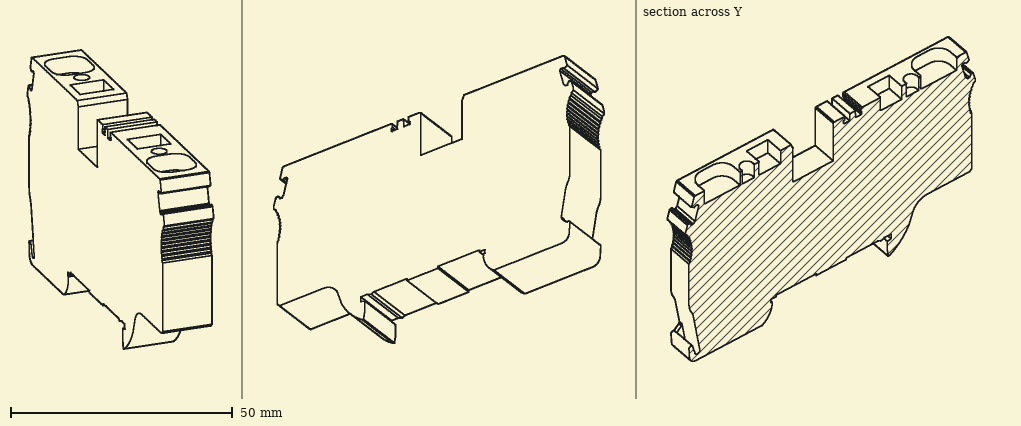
import cadquery as cq
import math

half_length = 41.6
thickness = 12.0
height = 50.5

wall_x = 40.6
wall_top_z = 30.7
tip_low_z = 40.1
tip_high_z = 40.7
ledge_root = (41.0, 39.6)
head_x = 39.1

rim_bevel_x = 0.3
rim_bevel_z = 0.2

ledge_hook = [(41.0, 42.8), (40.7, 43.0), (40.3, 43.0), (39.9, 42.2), (39.4, 42.2), (38.9, 42.8)]
lip_underside = [(37.8, 46.9), (38.0, 47.3), (38.7, 47.3), (39.0, 46.95), (39.9, 47.5)]

grip_radius = 10.8
grip_mid_z = 34.55
grip_waist_x = 39.95
ridge_count = 9
ridge_pitch = 0.9
ridge_depth = 0.25

gap_left_x = -10.65
gap_right_x = 0.75
gap_floor_z = 38.9
gap_chamfer_x = 0.6
gap_chamfer_z = 1.3

marker_mid_x = 6.4
marker_floor_z = 48.45
tongue_half_width = 0.8
tongue_taper = 0.1
marker_floor_corner = 0.2
marker_mouth_half_width = 2.25
marker_undercut_half_width = 2.6
marker_lip_z = 49.45
marker_undercut_z = 49.1
marker_bevel_x = 0.4

rail_seat_z = 7.0
rail_pad_z = 6.5
left_pad_end_x = -15.5
middle_pad_left_x = -4.0
middle_pad_right_x = 4.6
rail_nib = [(13.7, rail_seat_z), (14.5, 6.6), (15.6, rail_seat_z)]

sprung_hook = [
    (17.4, rail_seat_z), (17.4, 5.75), (16.3, 5.5), (16.3, 2.5), (16.65, 0.7), (17.1, 0.75)
]
hook_back_mid = (20.3, 3.5)
hook_back_x = 22.6

foot_corner_radius = 2.1
foot_right_x = -16.65
foot_curve_left_x = -19.6
foot_curve_mid = (-17.65, 1.8)
foot_curve_top_z = 4.5
foot_hook_z = 5.5
foot_notch_x = -17.1
foot_notch_z = 5.7
foot_left_x = -40.45
foot_lip_z = 4.7
foot_lip_crown = (-40.0, 5.3)
foot_lip_inside = (-39.45, 4.9)
slot_wall_top = (-39.45, 14.4)
slot_wall_bottom = (-37.45, 2.6)
slot_floor_mid = (-38.0, 1.9)
slot_floor_end = (-38.7, 2.3)

web_thickness = 1.0
web_outline = [(-38.2, 7.25), (-38.4, 6.6), (-39.8, 5.25), (-38.7, 1.5), (-37.05, 1.5)]

wall_bottom_z = 18.2
wall_bend_mid = (-40.5, 17.3)
wall_bend_end = (-40.3, 16.4)
wall_jog = (-39.7, 15.15)

shelf_z = 13.3
shelf_left_x = 27.6
shelf_corner = 0.7
shelf_curve_start = (23.8, 10.5)
shelf_curve_mid = (25.2, 12.4)

opening_depth = 4.0
wire_pocket_x = 31.05
wire_pocket_size = 10.15
wire_pocket_corner_radius = 3.3
test_hole_x = 23.55
test_hole_diameter = 3.5
tool_pocket_x = 17.4
tool_pocket_length = 6.1
tool_pocket_width = 8.1


def grip_x(z):
    """Distance of the grip arc from the middle plane at height z."""
    rise = z - grip_mid_z
    return grip_waist_x + grip_radius - math.sqrt(grip_radius**2 - rise**2)


def end_profile():
    """Right end profile from the top of the flat wall up to the top face."""
    points = [(wall_x, wall_top_z)]
    for ridge in range(ridge_count):
        valley_z = wall_top_z + (ridge + 0.5) * ridge_pitch
        crest_z = wall_top_z + (ridge + 1) * ridge_pitch
        points.append((grip_x(valley_z) - ridge_depth, valley_z))
        points.append((grip_x(crest_z), crest_z))
    points += [ledge_root, (half_length, tip_low_z), (half_length, tip_high_z)]
    points += ledge_hook + lip_underside
    points += [(head_x, height - rim_bevel_z), (head_x - rim_bevel_x, height)]
    return points


def add_lines(outline, points):
    """Continue an outline with straight lines through the points."""
    for x, z in points:
        outline = outline.lineTo(x, z)
    return outline


def housing():
    """Extruded side outline, drawn counter-clockwise from the fixed foot."""
    right_end = end_profile()
    left_end = [(-x, z) for x, z in reversed(right_end)]
    corner_mid = foot_corner_radius * (1 - math.sqrt(0.5))
    outline = (
        cq.Workplane("XZ", origin=(0, thickness / 2, 0))
        .moveTo(foot_left_x + foot_corner_radius, 0)
        .lineTo(foot_curve_left_x, 0)
        .threePointArc(foot_curve_mid, (foot_right_x, foot_curve_top_z))
        .lineTo(foot_right_x, foot_hook_z)
        .lineTo(foot_notch_x, foot_notch_z)
        .lineTo(foot_notch_x, rail_pad_z)
        .lineTo(left_pad_end_x, rail_pad_z)
        .lineTo(left_pad_end_x, rail_seat_z)
        .lineTo(middle_pad_left_x, rail_seat_z)
        .lineTo(middle_pad_left_x, rail_pad_z)
        .lineTo(middle_pad_right_x, rail_pad_z)
        .lineTo(middle_pad_right_x, rail_seat_z)
    )
    outline = (
        add_lines(outline, rail_nib + sprung_hook)
        .threePointArc(hook_back_mid, (hook_back_x, rail_seat_z))
        .lineTo(*shelf_curve_start)
        .threePointArc(shelf_curve_mid, (shelf_left_x, shelf_z))
        .lineTo(wall_x - shelf_corner, shelf_z)
        .lineTo(wall_x, shelf_z + shelf_corner)
    )
    outline = (
        add_lines(outline, right_end + left_end)
        .lineTo(-wall_x, wall_bottom_z)
        .threePointArc(wall_bend_mid, wall_bend_end)
        .lineTo(*wall_jog)
        .lineTo(*slot_wall_top)
        .lineTo(*slot_wall_bottom)
        .threePointArc(slot_floor_mid, slot_floor_end)
        .lineTo(*foot_lip_inside)
        .threePointArc(foot_lip_crown, (-wall_x, foot_lip_z))
        .lineTo(foot_left_x, foot_corner_radius)
        .threePointArc(
            (foot_left_x + corner_mid, corner_mid),
            (foot_left_x + foot_corner_radius, 0),
        )
        .close()
    )
    return outline.extrude(thickness)


def slot_web():
    """Thin web bridging the release slot, flush with the back face."""
    return (
        cq.Workplane("XZ", origin=(0, thickness / 2, 0))
        .polyline(web_outline)
        .close()
        .extrude(web_thickness)
    )


def top_gap():
    """Deep gap in the top edge with a chamfered left rim."""
    return (
        cq.Workplane("XZ", origin=(0, thickness / 2, 0))
        .moveTo(gap_left_x, gap_floor_z)
        .lineTo(gap_right_x, gap_floor_z)
        .lineTo(gap_right_x, height - rim_bevel_z)
        .lineTo(gap_right_x + rim_bevel_x, height)
        .lineTo(gap_left_x - gap_chamfer_x, height)
        .lineTo(gap_left_x, height - gap_chamfer_z)
        .close()
        .extrude(thickness)
    )


def marker_slot(side, bevel_x):
    """Undercut slot on one side (-1 left, 1 right) of the tongue, its outer rim bevelled by bevel_x."""
    profile = [
        (tongue_half_width, height),
        (tongue_half_width + tongue_taper, marker_floor_z),
        (marker_undercut_half_width - marker_floor_corner, marker_floor_z),
        (marker_undercut_half_width, marker_floor_z + marker_floor_corner),
        (marker_undercut_half_width, marker_undercut_z),
        (marker_mouth_half_width, marker_lip_z),
        (marker_mouth_half_width, height - rim_bevel_z),
        (marker_mouth_half_width + bevel_x, height),
    ]
    return (
        cq.Workplane("XZ", origin=(marker_mid_x, thickness / 2, 0))
        .polyline([(side * x, z) for x, z in profile])
        .close()
        .extrude(thickness)
    )


def top_openings(side):
    """Wire pocket, test hole and tool pocket on one side of the part."""
    floor = cq.Workplane("XY", origin=(0, 0, height - opening_depth))
    wire_pocket = (
        floor.center(side * wire_pocket_x, 0)
        .rect(wire_pocket_size, wire_pocket_size)
        .extrude(opening_depth)
        .edges("|Z")
        .fillet(wire_pocket_corner_radius)
    )
    test_hole = (
        floor.center(side * test_hole_x, 0)
        .circle(test_hole_diameter / 2)
        .extrude(opening_depth)
    )
    tool_pocket = (
        floor.center(side * tool_pocket_x, 0)
        .rect(tool_pocket_length, tool_pocket_width)
        .extrude(opening_depth)
    )
    return wire_pocket.union(test_hole).union(tool_pocket)


result = housing().union(slot_web()).cut(top_gap())
result = result.cut(marker_slot(-1, 0)).cut(marker_slot(1, marker_bevel_x))
for side in (-1, 1):
    result = result.cut(top_openings(side))